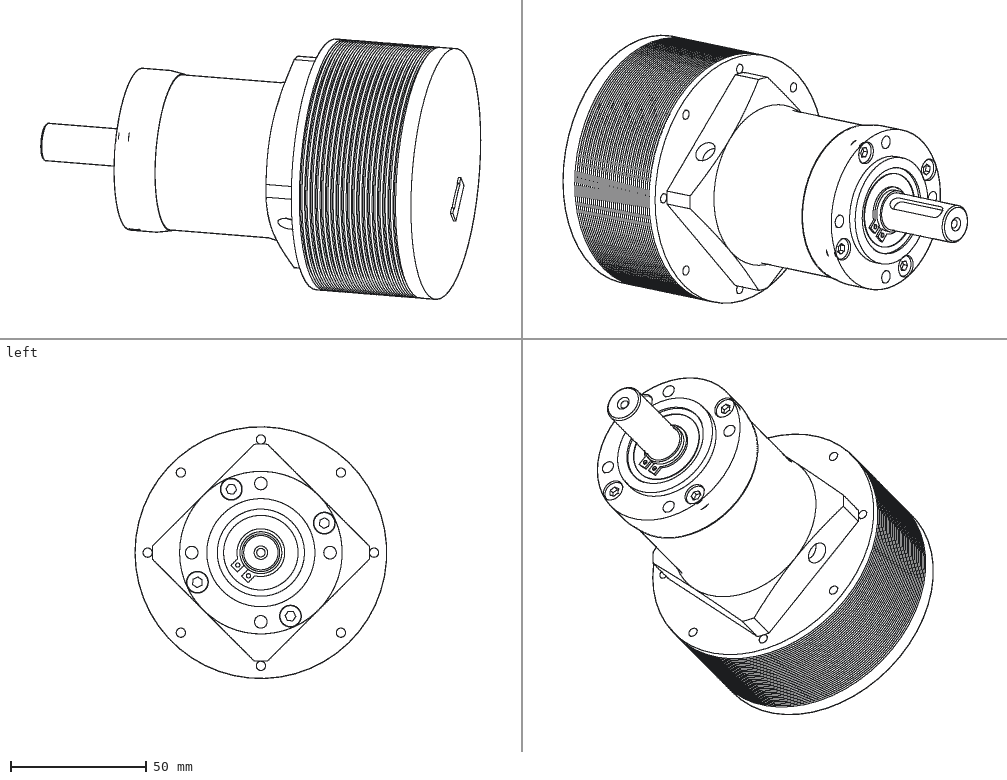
import cadquery as cq
import math

overall_length = 154.8

journal_start = 30.8
pilot_front = 32.2
flange_front = 35.0
flange_back = 45.2
tube_front = 50.5
tube_back = 88.4
adapter_front = 93.5
adapter_shoulder = 96.3
motor_front = 107.9
motor_back = 153.9

shaft_radius = 7.0
shaft_chamfer = 0.6
journal_radius = 7.7
keyway_start = 2.8
keyway_length = 25.2
keyway_width = 5.0
keyway_depth = 3.0
keyway_angle = 45.0
centre_hole_radius = 1.5
centre_hole_depth = 10.0
countersink_radius = 2.5

ring_radius = 8.8
ring_thickness = 1.0
ring_gap = 2.2
ring_angle = -45.0
ear_width = 3.4
ear_reach = 11.1
ear_hole_radius = 0.8
ear_hole_distance = 9.3
ear_offset = 2.8

pilot_radius = 20.0
flange_radius = 30.0
front_taper_end_radius = 29.1
tube_radius = 28.8
adapter_corner_radius = 40.1
adapter_across_flats = 2 * flange_radius
adapter_turn = 45.0
recess_radius = 16.1
recess_depth = 1.0
seal_radius = 13.8
seal_step = 0.3
cavity_radius = 26.3
cavity_front = 95.2
access_hole_radius = 4.0
access_hole_x = 101.1
access_hole_offset = 7.3
access_hole_angles = (-45.0, 135.0)

tapped_circle_radius = 25.5
tapped_radius = 2.3
tapped_depth = 9.3
drill_point_angle = 118.0
counterbore_radius = 4.0
counterbore_depth = 4.8

screw_count = 4
screw_circle_radius = 25.9
screw_start_angle = 65.0
head_radius = 3.9
head_recess = 1.0
shank_radius = 2.0
shank_length = 12.4
socket_across_flats = 3.4
socket_depth = 2.0

motor_diameter = 93.0
groove_count = 19
grooved_length = 37.0
groove_width = 1.0
groove_depth = 1.5
groove_start = 111.0
motor_hole_count = 8
motor_hole_circle_radius = 41.8
motor_hole_radius = 1.7
motor_hole_depth = 4.6

outlet_length = 15.2
outlet_width = 5.9
outlet_distance = 19.0
outlet_angle = -45.0
notch_length = 10.5
notch_side_depth = 0.8
notch_middle_depth = 0.3

motor_radius = motor_diameter / 2
groove_pitch = (grooved_length - groove_width) / (groove_count - 1)
seal_face = pilot_front + recess_depth + seal_step
head_seat = flange_front + counterbore_depth
circle_step = 360.0 / screw_count


def revolved(points):
    """Turn an (X, radius) outline about the X axis."""
    return cq.Workplane("XY").polyline(points).close().revolve(360, (0, 0, 0), (1, 0, 0))


def rod(x_start, x_end, radius, y=0.0, z=0.0):
    """Cylinder parallel to X."""
    return cq.Workplane("YZ", origin=(x_start, 0, 0)).center(y, z).circle(radius).extrude(x_end - x_start)


def polar(radius, angle):
    """Y and Z of a point at an angle measured from +Y towards +Z."""
    return radius * math.cos(math.radians(angle)), radius * math.sin(math.radians(angle))


def drilled_hole(x_start, radius, depth, y=0.0, z=0.0):
    """Cutter for a blind hole along +X with a conical drill point."""
    x_end = x_start + depth
    tip = x_end + radius / math.tan(math.radians(drill_point_angle / 2))
    outline = [(x_start, 0), (x_start, radius), (x_end, radius), (tip, 0)]
    return revolved(outline).translate((0, y, z))


def screw_places():
    return [polar(screw_circle_radius, screw_start_angle + i * circle_step) for i in range(screw_count)]


def make_retaining_ring():
    """Split ring with a square eared end each side of its gap, made with the gap on +Y and then turned."""
    start, end = seal_face - ring_thickness, seal_face
    ring = rod(start, end, ring_radius)
    for side in (-1, 1):
        ear = (
            cq.Workplane("YZ", origin=(start, 0, 0))
            .center(ear_reach / 2, side * ear_offset)
            .rect(ear_reach, ear_width)
            .extrude(ring_thickness)
        )
        ear_hole = rod(start, end, ear_hole_radius, ear_hole_distance, side * ear_offset)
        ring = ring.union(ear).cut(ear_hole)
    gap = (
        cq.Workplane("YZ", origin=(start, 0, 0))
        .center(ear_reach / 2, 0)
        .rect(ear_reach, ring_gap)
        .extrude(ring_thickness)
    )
    return ring.cut(gap).rotate((0, 0, 0), (1, 0, 0), ring_angle)


def make_shaft():
    shaft = rod(0, journal_start, shaft_radius).faces("<X").chamfer(shaft_chamfer)
    shaft = shaft.union(make_retaining_ring()).union(rod(journal_start, flange_back, journal_radius))
    keyway = (
        cq.Workplane("XY", origin=(0, 0, shaft_radius - keyway_depth))
        .center(keyway_start + keyway_length / 2, 0)
        .slot2D(keyway_length, keyway_width)
        .extrude(2 * keyway_depth)
        .rotate((0, 0, 0), (1, 0, 0), keyway_angle - 90)
    )
    countersink = revolved([(0, 0), (0, countersink_radius), (countersink_radius, 0)])
    centre_hole = drilled_hole(0, centre_hole_radius, centre_hole_depth)
    return shaft.cut(keyway).cut(countersink).cut(centre_hole)


def make_adapter():
    """Square flange with turned corners and a conical front."""
    turned = revolved(
        [
            (adapter_front, 0),
            (adapter_front, flange_radius),
            (adapter_shoulder, adapter_corner_radius),
            (motor_front, adapter_corner_radius),
            (motor_front, 0),
        ]
    )
    square = (
        cq.Workplane("YZ", origin=(adapter_front, 0, 0))
        .rect(adapter_across_flats, adapter_across_flats)
        .extrude(motor_front - adapter_front)
        .rotate((0, 0, 0), (1, 0, 0), adapter_turn)
    )
    adapter = turned.intersect(square).cut(rod(cavity_front, motor_front, cavity_radius))
    access_hole = (
        cq.Workplane("XY")
        .center(access_hole_x, access_hole_offset)
        .circle(access_hole_radius)
        .extrude(adapter_across_flats / 2)
    )
    for angle in access_hole_angles:
        adapter = adapter.cut(access_hole.rotate((0, 0, 0), (1, 0, 0), angle))
    return adapter


def make_housing():
    body = revolved(
        [
            (pilot_front, 0),
            (pilot_front, pilot_radius),
            (flange_front, pilot_radius),
            (flange_front, flange_radius),
            (flange_back, flange_radius),
            (tube_front, front_taper_end_radius),
            (tube_front, tube_radius),
            (tube_back, tube_radius),
            (adapter_front, flange_radius),
            (adapter_front, 0),
        ]
    )
    body = body.union(make_adapter())
    body = body.cut(rod(pilot_front, pilot_front + recess_depth, recess_radius))
    body = body.cut(rod(pilot_front, seal_face, seal_radius))
    body = body.cut(rod(pilot_front, flange_back, journal_radius))
    for i in range(screw_count):
        place = polar(tapped_circle_radius, i * circle_step)
        body = body.cut(drilled_hole(flange_front, tapped_radius, tapped_depth, *place))
    for place in screw_places():
        body = body.cut(rod(flange_front, head_seat, counterbore_radius, *place))
        body = body.cut(rod(head_seat, head_seat + shank_length, shank_radius, *place))
    return body


def make_screw(y, z, angle):
    head_front = flange_front + head_recess
    screw = rod(head_front, head_seat, head_radius).union(
        rod(head_seat, head_seat + shank_length, shank_radius)
    )
    socket_diameter = socket_across_flats / math.cos(math.pi / 6)
    socket = (
        cq.Workplane("YZ", origin=(head_front, 0, 0)).polygon(6, socket_diameter).extrude(socket_depth)
    )
    return screw.cut(socket).rotate((0, 0, 0), (1, 0, 0), angle).translate((0, y, z))


def make_cable_outlet():
    """Low block behind the motor; its side towards the axis has a notch with a curved floor."""
    inner = outlet_distance - outlet_width / 2
    outer = outlet_distance + outlet_width / 2
    half, notch_half = outlet_length / 2, notch_length / 2
    return (
        cq.Workplane("YZ", origin=(motor_back, 0, 0))
        .moveTo(outer, -half)
        .lineTo(outer, half)
        .lineTo(inner, half)
        .lineTo(inner, notch_half)
        .lineTo(inner + notch_side_depth, notch_half)
        .threePointArc((inner + notch_middle_depth, 0), (inner + notch_side_depth, -notch_half))
        .lineTo(inner, -notch_half)
        .lineTo(inner, -half)
        .close()
        .extrude(overall_length - motor_back)
        .rotate((0, 0, 0), (1, 0, 0), outlet_angle)
    )


def make_motor():
    motor = rod(motor_front, motor_back, motor_radius)
    for i in range(groove_count):
        start = groove_start + i * groove_pitch
        end = start + groove_width
        groove = rod(start, end, motor_radius).cut(rod(start, end, motor_radius - groove_depth))
        motor = motor.cut(groove)
    for i in range(motor_hole_count):
        place = polar(motor_hole_circle_radius, i * 360.0 / motor_hole_count)
        motor = motor.cut(rod(motor_front, motor_front + motor_hole_depth, motor_hole_radius, *place))
    return motor.union(make_cable_outlet())


shaft = make_shaft()
housing = make_housing()
motor = make_motor()
screws = [
    make_screw(y, z, screw_start_angle + i * circle_step) for i, (y, z) in enumerate(screw_places())
]

result = cq.Compound.makeCompound(
    [shaft.val(), housing.val(), motor.val(), *[screw.val() for screw in screws]]
)